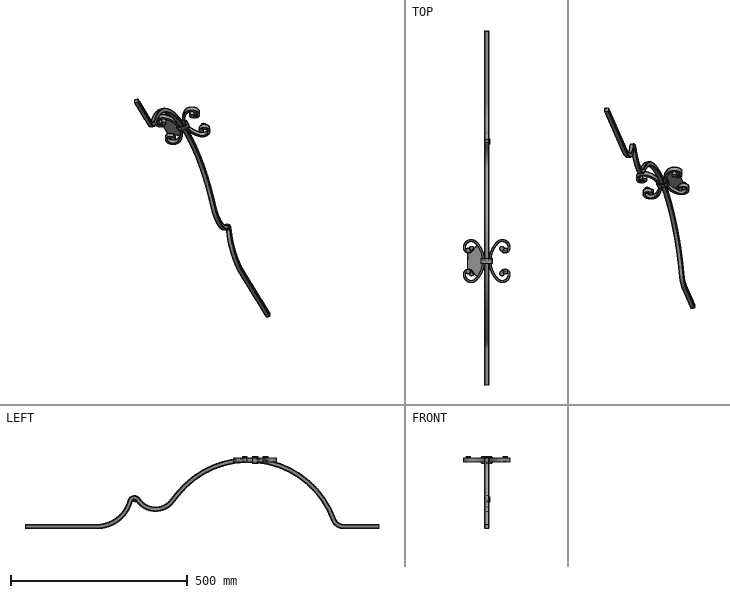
import cadquery as cq
import math

BAR_SIZE = 12.0
BAR_CHAMFER = 1.5
RAIL_LENGTH = 1000.0
RAIL_TOP = 200.0
ARCH_RADIUS = 256.0
ARCH_Y = -130.5
VALLEY_RADIUS = 59.0
VALLEY_CENTRE = (132.0, 114.0)
RISE_RADIUS = 97.5
RISE_Y = 298.0
CREST_RADIUS = 12.4
FOOT_RADIUS = 30.5

STRIP_THICKNESS = 6.0
STRIP_HEIGHT = 12.0
ORNAMENT_Y = -149.5
ORNAMENT_WIDTH = 132.07
SPINE_RADIUS = 74.0
CURL_RADIUS = 19.0
EYE_RADIUS = 11.0
EYE_START_ANGLE = 195.0
EYE_END_ANGLE = 350.0
BULB_RADIUS = 6.5
BULB_INSET = 2.0

COLLAR_WALL = 4.0
COLLAR_LENGTH = 15.0
COLLAR_FILLET = 5.0

KNUCKLE_RADIUS = 6.8
KNUCKLE_DEPTH = 12.0
KNUCKLE_INSET = 3.8
CREST_KNUCKLE_RISE = 3.0
CREST_KNUCKLE_ANGLE = 116.0
EYE_KNUCKLE_RISE = 4.0
EYE_KNUCKLE_ANGLE = 264.0

SAME_POINT = 1e-3


def polar(centre, radius, degrees):
    """Point on a circle."""
    angle = math.radians(degrees)
    return (centre[0] + radius * math.cos(angle), centre[1] + radius * math.sin(angle))


def direction(start, end):
    """Angle in degrees of the line from start to end."""
    return math.degrees(math.atan2(end[1] - start[1], end[0] - start[0]))


def bent_strip(plane, bends, width, height, lead_in=0.0, lead_out=0.0):
    """Strip of constant width along tangent bends with straight leads, raised from a plane.

    Each bend is (centre, centreline radius, start angle, end angle).
    """

    def edge(side):
        """One long edge: its first corner, its arcs and its last corner."""
        arcs = []
        for centre, radius, start, end in bends:
            turn = math.copysign(1, end - start)
            edge_radius = radius - side * turn * width / 2
            arcs.append([polar(centre, edge_radius, angle) for angle in (start, (start + end) / 2, end)])
        _, _, start, end = bends[0]
        first_heading = start + math.copysign(90, end - start)
        _, _, start, end = bends[-1]
        last_heading = end + math.copysign(90, end - start)
        return polar(arcs[0][0], -lead_in, first_heading), arcs, polar(arcs[-1][-1], lead_out, last_heading)

    def connect(outline, here, point):
        """Straight line between two points, left out where they coincide."""
        return outline.lineTo(*point) if math.dist(here, point) > SAME_POINT else outline

    def follow(outline, corner, arcs):
        """Draw the arcs of an edge one after the other, starting at a corner."""
        here = corner
        for first, middle, last in arcs:
            outline = connect(outline, here, first).threePointArc(middle, last)
            here = last
        return outline, here

    left_start, left_arcs, left_end = edge(1)
    right_start, right_arcs, right_end = edge(-1)
    back_arcs = [points[::-1] for points in reversed(right_arcs)]

    outline, here = follow(cq.Workplane(plane).moveTo(*left_start), left_start, left_arcs)
    outline = connect(outline, here, left_end).lineTo(*right_end)
    outline, here = follow(outline, right_end, back_arcs)
    return connect(outline, here, right_start).close().extrude(height)


def disc(plane, centre, radius, height):
    """Cylinder raised from a plane."""
    return cq.Workplane(plane).center(*centre).circle(radius).extrude(height)


def make_rail():
    """Bar with a rise, a crest, a valley, an arch and a foot, and a knuckle at the crest."""
    base_height = BAR_SIZE / 2
    valley = VALLEY_CENTRE
    rise = (RISE_Y, base_height + RISE_RADIUS)
    arch = (ARCH_Y, RAIL_TOP - BAR_SIZE / 2 - ARCH_RADIUS)

    to_valley = VALLEY_RADIUS + CREST_RADIUS
    to_rise = RISE_RADIUS + CREST_RADIUS
    span = math.dist(valley, rise)
    corner = math.acos((to_valley**2 + span**2 - to_rise**2) / (2 * to_valley * span))
    crest = polar(valley, to_valley, direction(valley, rise) - math.degrees(corner))

    foot_z = base_height + FOOT_RADIUS
    to_arch = ARCH_RADIUS + FOOT_RADIUS
    foot = (ARCH_Y - math.sqrt(to_arch**2 - (foot_z - arch[1]) ** 2), foot_z)

    tangent = math.acos((ARCH_RADIUS + VALLEY_RADIUS) / math.dist(arch, valley))
    arch_start = direction(arch, valley) + math.degrees(tangent)

    bends = [
        (rise, RISE_RADIUS, -90, direction(rise, crest)),
        (crest, CREST_RADIUS, direction(crest, rise), direction(crest, valley)),
        (valley, VALLEY_RADIUS, direction(valley, crest), arch_start - 180),
        (arch, ARCH_RADIUS, arch_start, direction(arch, foot)),
        (foot, FOOT_RADIUS, direction(foot, arch), -90),
    ]
    side = cq.Plane.named("YZ", origin=(-BAR_SIZE / 2, 0, 0))
    lead_in = RAIL_LENGTH / 2 - RISE_Y
    lead_out = RAIL_LENGTH / 2 + foot[0]
    bar = bent_strip(side, bends, BAR_SIZE, BAR_SIZE, lead_in, lead_out)

    bar = bar.faces("<X or >X").edges("not(<Y or >Y)").chamfer(BAR_CHAMFER)

    knuckle_base = cq.Plane.named("YZ", origin=(BAR_SIZE / 2 + CREST_KNUCKLE_RISE - KNUCKLE_DEPTH, 0, 0))
    knuckle_centre = polar(crest, CREST_RADIUS - KNUCKLE_INSET, CREST_KNUCKLE_ANGLE)
    return bar.union(disc(knuckle_base, knuckle_centre, KNUCKLE_RADIUS, KNUCKLE_DEPTH))


def make_left_scroll():
    """C-shaped strip against the rail, its ends curling into tight eyes with a knuckle and a bulb each."""
    spine = (-(BAR_SIZE + STRIP_THICKNESS) / 2 - SPINE_RADIUS, 0)

    curl_x = CURL_RADIUS + STRIP_THICKNESS / 2 - ORNAMENT_WIDTH / 2
    curl = (curl_x, math.sqrt((SPINE_RADIUS - CURL_RADIUS) ** 2 - (curl_x - spine[0]) ** 2))
    eye = polar(curl, CURL_RADIUS - EYE_RADIUS, EYE_START_ANGLE)
    low_curl = (curl[0], -curl[1])
    low_eye = (eye[0], -eye[1])
    spine_end = direction(spine, curl)

    bends = [
        (low_eye, EYE_RADIUS, -EYE_END_ANGLE, -EYE_START_ANGLE),
        (low_curl, CURL_RADIUS, -EYE_START_ANGLE, -spine_end),
        (spine, SPINE_RADIUS, -spine_end, spine_end),
        (curl, CURL_RADIUS, spine_end, EYE_START_ANGLE),
        (eye, EYE_RADIUS, EYE_START_ANGLE, EYE_END_ANGLE),
    ]
    bottom = cq.Plane.named("XY", origin=(0, ORNAMENT_Y, RAIL_TOP - STRIP_HEIGHT))
    scroll = bent_strip(bottom, bends, STRIP_THICKNESS, STRIP_HEIGHT)

    knuckle_base = cq.Plane.named("XY", origin=(0, ORNAMENT_Y, RAIL_TOP + EYE_KNUCKLE_RISE - KNUCKLE_DEPTH))
    for centre, side in ((eye, 1), (low_eye, -1)):
        knuckle_centre = polar(centre, EYE_RADIUS - KNUCKLE_INSET, side * EYE_KNUCKLE_ANGLE)
        bulb_centre = polar(centre, EYE_RADIUS - BULB_INSET, side * EYE_END_ANGLE)
        scroll = scroll.union(disc(knuckle_base, knuckle_centre, KNUCKLE_RADIUS, KNUCKLE_DEPTH))
        scroll = scroll.union(disc(bottom, bulb_centre, BULB_RADIUS, STRIP_HEIGHT))
    return scroll


def make_collar(enclosed):
    """Rectangular band whose opening also clears the bodies that pass through it."""
    opening_width = BAR_SIZE + 2 * STRIP_THICKNESS
    middle = (0, ORNAMENT_Y, RAIL_TOP - STRIP_HEIGHT / 2)
    opening = cq.Workplane().box(opening_width, COLLAR_LENGTH, STRIP_HEIGHT).translate(middle)
    collar = cq.Workplane().box(
        opening_width + 2 * COLLAR_WALL, COLLAR_LENGTH, STRIP_HEIGHT + 2 * COLLAR_WALL
    ).translate(middle).edges("|Y").fillet(COLLAR_FILLET)
    for body in [opening] + enclosed:
        collar = collar.cut(body)
    return collar


rail = make_rail()
left_scroll = make_left_scroll()
right_scroll = left_scroll.mirror("YZ")
collar = make_collar([rail, left_scroll, right_scroll])

result = cq.Compound.makeCompound([rail.val(), left_scroll.val(), right_scroll.val(), collar.val()])